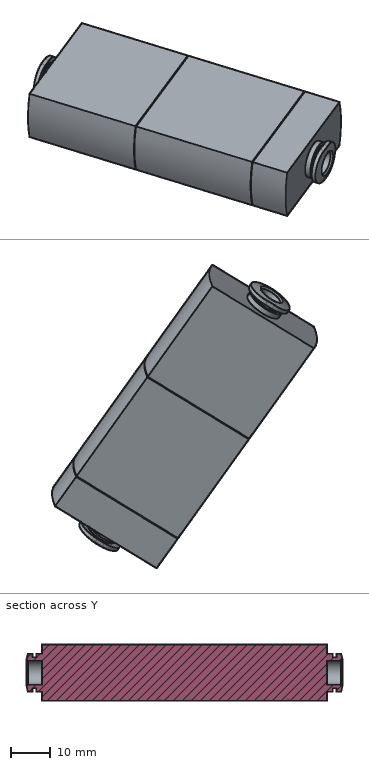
import cadquery as cq

overall_length = 81.0
body_width = 33.1
body_height = 14.5
flat_width = 31.2
fitting_length = 4.0
body_length = overall_length - 2 * fitting_length

groove_positions = (30.1, 63.2)
groove_width = 0.2
groove_depth = 0.1

collar_diameter = 9.8
collar_length = 1.45
neck_diameter = 8.0
flange_start = 2.35
flange_length = 11.9
flange_height = collar_diameter
crown_depth = 0.6
bore_diameter = 6.0
bore_mouth_diameter = 6.8
bore_mouth_depth = 0.6
bore_depth = fitting_length


def body_section(x, length, inset=0.0):
    """Slab with bowed sides, starting at x and running toward +X."""
    half_flat = flat_width / 2 - inset
    half_width = body_width / 2 - inset
    half_height = body_height / 2 - inset
    return (
        cq.Workplane("YZ", origin=(x, 0, 0))
        .moveTo(-half_flat, -half_height)
        .lineTo(half_flat, -half_height)
        .threePointArc((half_width, 0), (half_flat, half_height))
        .lineTo(-half_flat, half_height)
        .threePointArc((-half_width, 0), (-half_flat, -half_height))
        .close()
        .extrude(length)
    )


def make_body():
    start = -body_length / 2
    body = body_section(start, body_length)
    for position in groove_positions:
        x = start + position - groove_width / 2
        groove = body_section(x, groove_width).cut(body_section(x, groove_width, groove_depth))
        body = body.cut(groove)
    return body


def revolve_about_x(points):
    """Solid of revolution from (x, radius) points."""
    return cq.Workplane("XY").polyline(points).close().revolve(360, (0, 0, 0), (1, 0, 0))


def make_fitting():
    """Fitting on the +X end: collar, neck and oval flange with a conical face."""
    face = body_length / 2
    tip = overall_length / 2
    flange_back = face + flange_start
    collar = cq.Workplane("YZ", origin=(face, 0, 0)).circle(collar_diameter / 2).extrude(collar_length)
    neck = cq.Workplane("YZ", origin=(face, 0, 0)).circle(neck_diameter / 2).extrude(flange_start)
    flange = (
        cq.Workplane("YZ", origin=(flange_back, 0, 0))
        .slot2D(flange_length, flange_height)
        .extrude(tip - flange_back)
    )
    crown = revolve_about_x([
        (flange_back, 0),
        (flange_back, flange_length / 2),
        (tip - crown_depth, flange_length / 2),
        (tip, bore_mouth_diameter / 2),
        (tip, 0),
    ])
    return collar.union(neck).union(flange.intersect(crown))


def make_bore():
    """Blind tube socket on the +X end, with a tapered mouth."""
    tip = overall_length / 2
    return revolve_about_x([
        (tip - bore_depth, 0),
        (tip - bore_depth, bore_diameter / 2),
        (tip - bore_mouth_depth, bore_diameter / 2),
        (tip, bore_mouth_diameter / 2),
        (tip, 0),
    ])


fitting = make_fitting()
bore = make_bore()
result = make_body().union(fitting).union(fitting.mirror("YZ"))
result = result.cut(bore).cut(bore.mirror("YZ"))